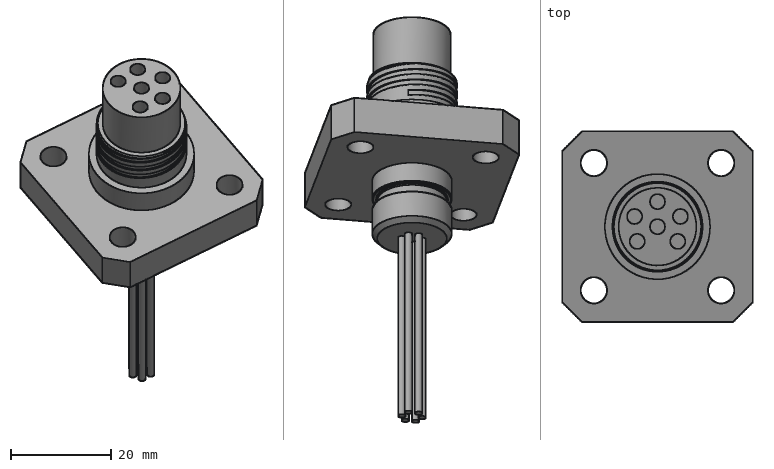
import cadquery as cq
import math


flange_width = 38.1
flange_thickness = 7.7
flange_corner_chamfer = 4.0
mount_hole_diameter = 5.2
mount_hole_pitch = 25.4

collar_diameter = 21.0
thread_diameter = 18.0
plug_diameter = 15.5
collar_top = flange_thickness + 5.2
thread_top = collar_top + 9.2
plug_top = thread_top + 10.7

groove_pitch = 2.33
groove_width = 1.15
groove_depth = 0.3
groove_start_height = collar_top + 2.38
groove_start_angle = 165
groove_runout = 1.5
thread_top_chamfer = 0.3

socket_diameter = 3.0
socket_depth = 8.0
socket_circle_radius = 5.0
socket_angles = [90, 24, 156, -36, 216]

rear_diameter = 15.9
neck_diameter = 13.9
neck_top = -4.2
neck_bottom = -6.3
neck_edge_bevel = 0.2
neck_corner_bevel = 0.25
rear_bottom = -12.9
rear_chamfer = 1.0

wire_count = 6
wire_diameter = 1.5
wire_length = 40.0
wire_circle_radius = 2.07


def cylinder(diameter, bottom, top):
    """Solid cylinder on the Z axis between two heights."""
    return cq.Workplane("XY", origin=(0, 0, bottom)).circle(diameter / 2).extrude(top - bottom)


def make_flange():
    plate = cq.Workplane("XY").rect(flange_width, flange_width).extrude(flange_thickness)
    plate = plate.edges("|Z").chamfer(flange_corner_chamfer)
    holes = (
        cq.Workplane("XY")
        .rect(mount_hole_pitch, mount_hole_pitch, forConstruction=True)
        .vertices()
        .circle(mount_hole_diameter / 2)
        .extrude(flange_thickness)
    )
    return plate.cut(holes)


def make_thread_groove():
    """Right-handed square groove that starts on the thread and runs out through its top."""
    radius = thread_diameter / 2
    helix_height = thread_top + groove_runout - groove_start_height
    helix = cq.Wire.makeHelix(groove_pitch, helix_height, radius)
    groove = (
        cq.Workplane("XZ", origin=(radius, 0, 0))
        .rect(2 * groove_depth, groove_width)
        .sweep(cq.Workplane(obj=helix), isFrenet=True)
    )
    groove = groove.rotate((0, 0, 0), (0, 0, 1), groove_start_angle)
    return groove.translate((0, 0, groove_start_height))


def make_threaded_stage():
    """Thread grooved on an overlong blank, then trimmed to its height and top chamfer."""
    overlong = cylinder(thread_diameter, collar_top, thread_top + 2 * groove_runout)
    grooved = overlong.cut(make_thread_groove())
    envelope = cylinder(thread_diameter, collar_top, thread_top)
    envelope = envelope.faces(">Z").chamfer(thread_top_chamfer)
    return grooved.intersect(envelope)


def make_plug():
    plug = cylinder(plug_diameter, thread_top, plug_top)
    ring = [
        (
            socket_circle_radius * math.cos(math.radians(angle)),
            socket_circle_radius * math.sin(math.radians(angle)),
        )
        for angle in socket_angles
    ]
    sockets = (
        cq.Workplane("XY", origin=(0, 0, plug_top))
        .pushPoints([(0, 0)] + ring)
        .circle(socket_diameter / 2)
        .extrude(-socket_depth)
    )
    return plug.cut(sockets)


def make_rear_body():
    """Turned body with a waist whose outer edges and inner corners are all bevelled."""
    rear_radius = rear_diameter / 2
    neck_radius = neck_diameter / 2
    profile = [
        (0, 0),
        (rear_radius, 0),
        (rear_radius, neck_top + neck_edge_bevel),
        (rear_radius - neck_edge_bevel, neck_top),
        (neck_radius + neck_corner_bevel, neck_top),
        (neck_radius, neck_top - neck_corner_bevel),
        (neck_radius, neck_bottom + neck_corner_bevel),
        (neck_radius + neck_corner_bevel, neck_bottom),
        (rear_radius - neck_edge_bevel, neck_bottom),
        (rear_radius, neck_bottom - neck_edge_bevel),
        (rear_radius, rear_bottom + rear_chamfer),
        (rear_radius - rear_chamfer, rear_bottom),
        (0, rear_bottom),
    ]
    return cq.Workplane("XZ").polyline(profile).close().revolve(360, (0, 0), (0, 1))


def make_wires():
    first_wire_angle = 90
    return (
        cq.Workplane("XY", origin=(0, 0, rear_bottom))
        .polarArray(wire_circle_radius, first_wire_angle, 360, wire_count)
        .circle(wire_diameter / 2)
        .extrude(-wire_length)
    )


result = (
    make_flange()
    .union(cylinder(collar_diameter, flange_thickness, collar_top))
    .union(make_threaded_stage())
    .union(make_plug())
    .union(make_rear_body())
    .union(make_wires())
)